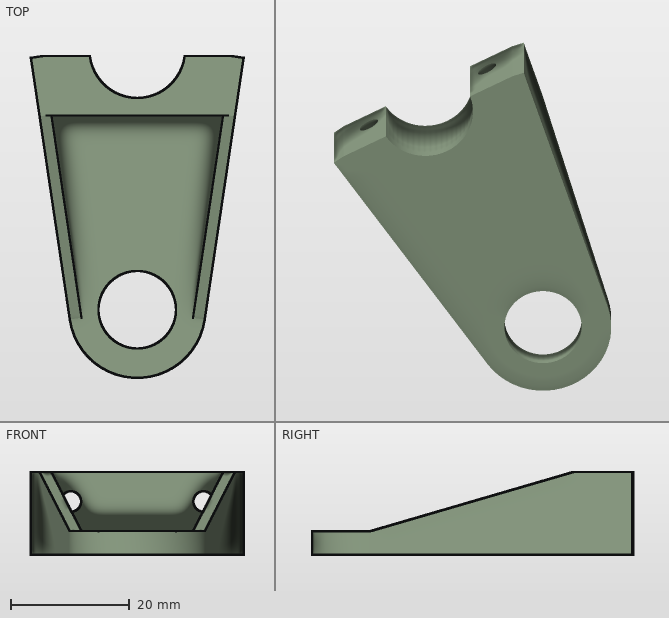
import cadquery as cq
import math

length = 54.2
height = 14.0
back_width = 35.9

eye_radius = 11.5
eye_hole_diameter = 13.0
plate_thickness = 4.0
back_y = length - eye_radius

block_depth = 10.05
saddle_radius = 8.0
saddle_offset = 1.0

rib_thickness = 2.0
rib_top_length = 8.7

corner_setback = 0.3
kink_setback = 1.6
kink_inset = 0.2

screw_diameter = 3.4
screw_spacing = 22.35
screw_height = 9.0

corner_x = back_width / 2
corner_y = back_y - corner_setback
kink_x = corner_x - kink_inset
kink_y = back_y - kink_setback
kink_distance = math.hypot(kink_x, kink_y)
tangent_angle = math.atan2(kink_y, kink_x) - math.acos(eye_radius / kink_distance)
tangent_x = eye_radius * math.cos(tangent_angle)
tangent_y = eye_radius * math.sin(tangent_angle)
side_length = math.hypot(kink_x - tangent_x, kink_y - tangent_y)
bevel_end_x = corner_x - corner_setback / abs(math.tan(tangent_angle))


def make_body():
    """Tapered outline with a rounded front, at full height."""
    return (
        cq.Workplane("XY")
        .moveTo(-tangent_x, tangent_y)
        .threePointArc((0, -eye_radius), (tangent_x, tangent_y))
        .lineTo(kink_x, kink_y)
        .lineTo(corner_x, corner_y)
        .lineTo(bevel_end_x, back_y)
        .lineTo(-bevel_end_x, back_y)
        .lineTo(-corner_x, corner_y)
        .lineTo(-kink_x, kink_y)
        .close()
        .extrude(height)
    )


def make_rib(side):
    """Wedge along one side (-1 left, +1 right), falling from block to eye."""
    start = cq.Vector(side * tangent_x, tangent_y, 0)
    along = cq.Vector(side * (kink_x - tangent_x), kink_y - tangent_y, 0)
    plane = cq.Plane(origin=start, xDir=along, normal=along.cross(cq.Vector(0, 0, 1)))
    inward_depth = -side * rib_thickness
    slope_end = side_length - rib_top_length
    return (
        cq.Workplane(plane)
        .polyline([(0, 0), (side_length, 0), (side_length, height),
                   (slope_end, height), (0, plate_thickness)])
        .close()
        .extrude(inward_depth)
    )


body = make_body()
plate = body.intersect(
    cq.Workplane("XY").rect(2 * length, 2 * length).extrude(plate_thickness)
)
block = body.intersect(
    cq.Workplane("XY")
    .center(0, back_y - block_depth / 2)
    .rect(back_width, block_depth)
    .extrude(height)
)
bracket = plate.union(block).union(make_rib(-1)).union(make_rib(1))

eye_hole = cq.Workplane("XY").circle(eye_hole_diameter / 2).extrude(height)
saddle = (
    cq.Workplane("XY")
    .center(0, back_y + saddle_offset)
    .circle(saddle_radius)
    .extrude(height)
)
screw_holes = (
    cq.Workplane("XZ", origin=(0, back_y - block_depth, screw_height))
    .pushPoints([(-screw_spacing / 2, 0), (screw_spacing / 2, 0)])
    .circle(screw_diameter / 2)
    .extrude(-block_depth)
)

result = bracket.cut(eye_hole).cut(saddle).cut(screw_holes)